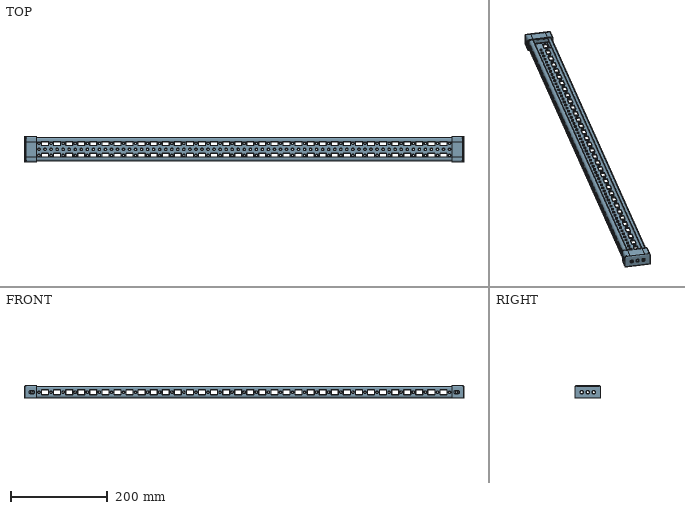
import cadquery as cq
LENGTH = 910.0
CAP_WIDTH = 54.0
CAP_HEIGHT = 26.0

CHANNEL_WIDTH = 49.0
CHANNEL_HEIGHT = 25.0
CHANNEL_WALL = 1.55
CHANNEL_CORNER_RADIUS = 4.9
OPENING_WIDTH = 31.0
CHANNEL_OFFSET_Y = -0.2

PITCH = 910.0 / 36.4
WINDOW_COUNT = 34
FLOOR_WINDOW_COUNT = WINDOW_COUNT + 2
WINDOW_LENGTH = 14.0
SIDE_WINDOW_HEIGHT = 10.0
FLOOR_WINDOW_WIDTH = 8.6
HOLE_DIAMETER = 4.6

CAP_LENGTH = 25.0
CAP_END_WALL = 3.0
CAP_TOP_RADIUS = 5.0
CAP_BOTTOM_RADIUS = 2.0
CAP_HOLE_DIAMETER = 6.5
CAP_HOLE_COUNT = 3
SLOT_LENGTH = 12.0
SLOT_INSET = 15.1

HALF_PITCH = PITCH / 2
CAP_BOTTOM_Z = -CAP_HEIGHT / 2
CHANNEL_AXIS_Z = CAP_BOTTOM_Z + CHANNEL_HEIGHT / 2
CHANNEL_TOP_Z = CHANNEL_AXIS_Z + CHANNEL_HEIGHT / 2
CHANNEL_LENGTH = LENGTH - 2 * CAP_END_WALL
CAP_SCREW_X = LENGTH / 2 - SLOT_INSET


def spread(count, step):
    """Evenly spaced positions centred on zero."""
    return [(i - (count - 1) / 2) * step for i in range(count)]


def channel_bar(inset):
    """Solid bar with the channel's outline, moved inwards by the inset."""
    bar = cq.Workplane("XY").box(CHANNEL_LENGTH, CHANNEL_WIDTH - 2 * inset, CHANNEL_HEIGHT - 2 * inset)
    bar = bar.edges("|X").fillet(CHANNEL_CORNER_RADIUS - inset)
    return bar.translate((0, CHANNEL_OFFSET_Y, CHANNEL_AXIS_Z))


def side_plane():
    """Sketch plane through the channel axis, for cuts through both side walls."""
    return cq.Workplane("XZ", origin=(0, 0, CHANNEL_AXIS_Z))


def floor_plane():
    """Sketch plane at the underside of the channel floor."""
    return cq.Workplane("XY", origin=(0, CHANNEL_OFFSET_Y, CAP_BOTTOM_Z))


def side_cuts():
    """Windows in the side walls, with a small hole between neighbours and one at each cap slot."""
    window_points = [(x, 0) for x in spread(WINDOW_COUNT, PITCH)]
    hole_points = [(x, 0) for x in spread(WINDOW_COUNT + 1, PITCH)]
    hole_points += [(-CAP_SCREW_X, 0), (CAP_SCREW_X, 0)]
    windows = side_plane().pushPoints(window_points).rect(WINDOW_LENGTH, SIDE_WINDOW_HEIGHT)
    holes = side_plane().pushPoints(hole_points).circle(HOLE_DIAMETER / 2)
    return [windows.extrude(CAP_WIDTH, both=True), holes.extrude(CAP_WIDTH, both=True)]


def floor_cuts():
    """Two rows of windows and holes in the floor, and a row of holes along its middle."""
    rows = (-HALF_PITCH, HALF_PITCH)
    window_points = [(x, y) for x in spread(FLOOR_WINDOW_COUNT, PITCH) for y in rows]
    hole_points = [(x, y) for x in spread(WINDOW_COUNT + 1, PITCH) for y in rows]
    hole_points += [(x, 0) for x in spread(2 * WINDOW_COUNT + 1, HALF_PITCH)]
    windows = floor_plane().pushPoints(window_points).rect(WINDOW_LENGTH, FLOOR_WINDOW_WIDTH)
    holes = floor_plane().pushPoints(hole_points).circle(HOLE_DIAMETER / 2)
    return [windows.extrude(CHANNEL_WALL), holes.extrude(CHANNEL_WALL)]


def make_channel():
    channel = channel_bar(0).cut(channel_bar(CHANNEL_WALL))
    opening = cq.Workplane("XY").box(LENGTH, OPENING_WIDTH, 2 * CHANNEL_WALL)
    channel = channel.cut(opening.translate((0, CHANNEL_OFFSET_Y, CHANNEL_TOP_Z)))
    for cutter in side_cuts() + floor_cuts():
        channel = channel.cut(cutter)
    return channel


def make_cap():
    """Cap at the -X end, fitted over the channel."""
    cap = cq.Workplane("XY").box(CAP_LENGTH, CAP_WIDTH, CAP_HEIGHT)
    cap = cap.translate(((CAP_LENGTH - LENGTH) / 2, 0, 0))
    cap = cap.faces(">Z").edges("not >X").fillet(CAP_TOP_RADIUS)
    cap = cap.faces("<Z").edges("not >X").fillet(CAP_BOTTOM_RADIUS)
    cap = cap.cut(channel_bar(0))

    end_plane = cq.Workplane("YZ", origin=(-LENGTH / 2, 0, CHANNEL_AXIS_Z))
    hole_points = [(y, 0) for y in spread(CAP_HOLE_COUNT, HALF_PITCH)]
    end_holes = end_plane.pushPoints(hole_points).circle(CAP_HOLE_DIAMETER / 2).extrude(CAP_END_WALL)

    slot_plane = cq.Workplane("XZ", origin=(-CAP_SCREW_X, 0, CHANNEL_AXIS_Z))
    side_slots = slot_plane.slot2D(SLOT_LENGTH, CAP_HOLE_DIAMETER).extrude(CAP_WIDTH, both=True)
    return cap.cut(end_holes).cut(side_slots)


channel = make_channel()
left_cap = make_cap()
right_cap = left_cap.mirror("YZ")

result = cq.Compound.makeCompound([channel.val(), left_cap.val(), right_cap.val()])